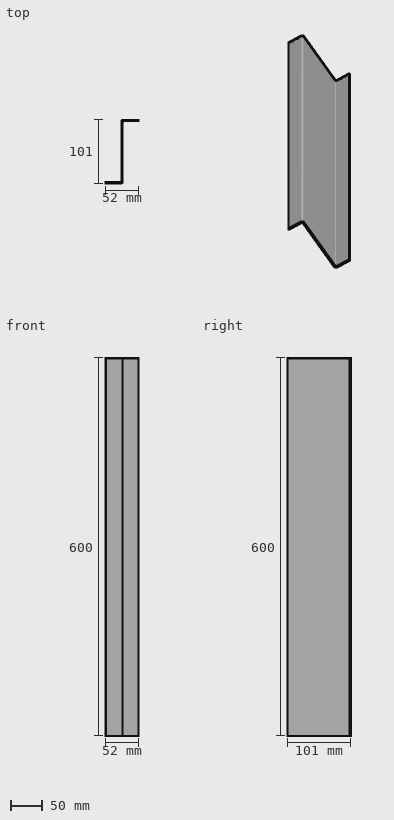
import cadquery as cq

length = 600.0
overall_width = 52.0
overall_depth = 101.0
thickness = 2.0
inner_bend_radius = 1.0

outer_bend_radius = inner_bend_radius + thickness
half_width = overall_width / 2
half_depth = overall_depth / 2
half_thickness = thickness / 2
flange_inner_y = half_depth - thickness


def z_outline():
    """Sharp-cornered Z section: left flange at -Y, web on the Y axis, right flange at +Y."""
    return [
        (-half_width, -half_depth),
        (half_thickness, -half_depth),
        (half_thickness, flange_inner_y),
        (half_width, flange_inner_y),
        (half_width, half_depth),
        (-half_thickness, half_depth),
        (-half_thickness, -flange_inner_y),
        (-half_width, -flange_inner_y),
    ]


def round_corner(body, x, y, radius):
    """Fillet the lengthwise edge at the section corner (x, y)."""
    return body.edges(cq.selectors.NearestToPointSelector((x, y, length / 2))).fillet(radius)


result = cq.Workplane("XY").polyline(z_outline()).close().extrude(length)

for side in (-1, 1):
    result = round_corner(result, side * half_thickness, side * flange_inner_y, inner_bend_radius)
    result = round_corner(result, -side * half_thickness, side * half_depth, outer_bend_radius)